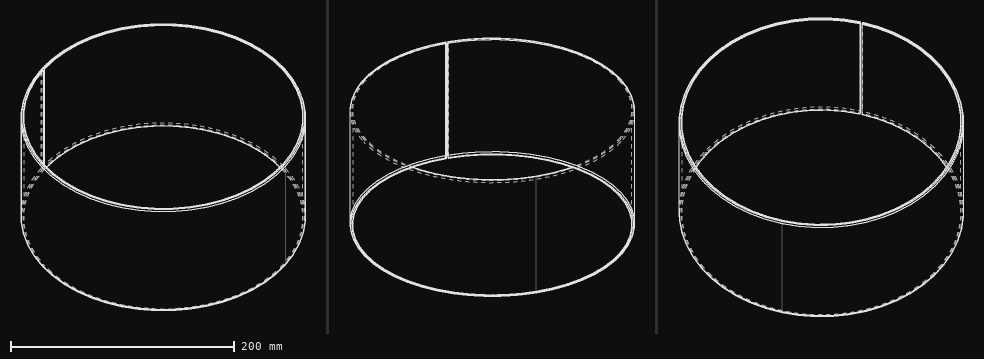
import cadquery as cq

outer_diameter = 255.0
height = 120.0
wall = 2.5

bevel_depth = 0.71
bevel_height = 2.0

inner_bevel_depth = 0.5
inner_bevel_height = 0.5

split_width = 2.0

outer_radius = outer_diameter / 2
inner_radius = outer_radius - wall
outer_rim_radius = outer_radius - bevel_depth
inner_rim_radius = inner_radius + inner_bevel_depth
half_height = height / 2
outer_bevel_start = half_height - bevel_height
inner_bevel_start = half_height - inner_bevel_height

ring = (
    cq.Workplane("XZ")
    .moveTo(inner_rim_radius, -half_height)
    .lineTo(outer_rim_radius, -half_height)
    .lineTo(outer_radius, -outer_bevel_start)
    .lineTo(outer_radius, outer_bevel_start)
    .lineTo(outer_rim_radius, half_height)
    .lineTo(inner_rim_radius, half_height)
    .lineTo(inner_radius, inner_bevel_start)
    .lineTo(inner_radius, -inner_bevel_start)
    .close()
    .revolve(360, (0, 0, 0), (0, 1, 0))
)

split = cq.Workplane("XY").box(
    outer_diameter, split_width, 2 * height, centered=(False, False, True)
).translate((-outer_diameter, 0, 0))

result = ring.cut(split)